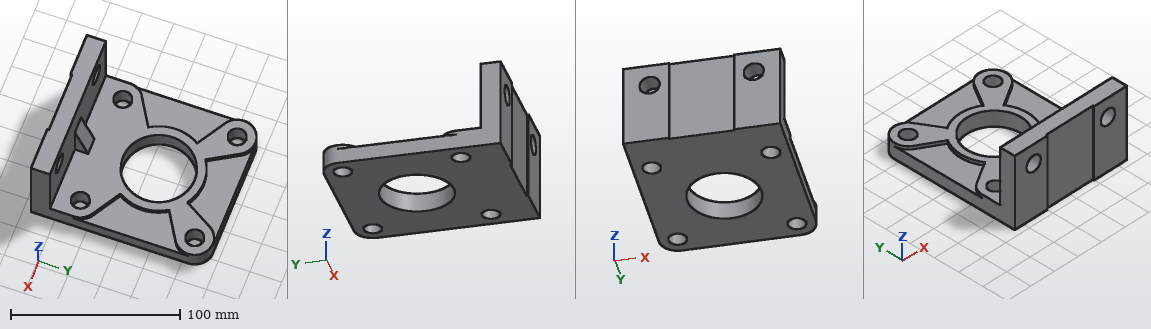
import cadquery as cq
import math

width = 95.0
length = 110.5
height = 55.0
thickness = 12.0

bore_diameter = 45.0
bore_y = length - width / 2
bolt_offset = 36.0
bolt_diameter = 11.0
corner_radius = width / 2 - bolt_offset

pad_height = 2.5
ring_radius = 28.3
arm_root_half_width = 6.0

wall_hole_spacing = 63.0
wall_hole_diameter = 12.0
wall_hole_z = 40.7
groove_width = 39.3
groove_depth = 1.0

gusset_width = 10.6
gusset_length = 8.4
gusset_height = 21.3

floor_z = thickness - pad_height
bolt_points = [(sx * bolt_offset, bore_y + sy * bolt_offset) for sx in (-1, 1) for sy in (-1, 1)]


def make_base():
    """Lower plate with its two rear corners rounded."""
    plate = cq.Workplane("XY").box(width, length, floor_z, centered=(True, False, False))
    return plate.edges("|Z and >Y").fillet(corner_radius)


def make_arm(angle):
    """Arm widening outward to run tangentially into a round bolt boss."""
    root = math.sqrt(ring_radius**2 - arm_root_half_width**2)
    boss = math.hypot(bolt_offset, bolt_offset)
    span = math.hypot(boss - root, arm_root_half_width)
    root_angle = math.atan2(arm_root_half_width, root - boss)
    tangent_angle = root_angle - math.acos(corner_radius / span)
    tangent_x = boss + corner_radius * math.cos(tangent_angle)
    tangent_y = corner_radius * math.sin(tangent_angle)
    return (
        cq.Workplane("XY")
        .moveTo(0, -arm_root_half_width)
        .lineTo(root, -arm_root_half_width)
        .lineTo(tangent_x, -tangent_y)
        .threePointArc((boss + corner_radius, 0), (tangent_x, tangent_y))
        .lineTo(root, arm_root_half_width)
        .lineTo(0, arm_root_half_width)
        .close()
        .extrude(pad_height)
        .rotate((0, 0, 0), (0, 0, 1), angle)
        .translate((0, bore_y, floor_z))
    )


def make_pad():
    """Raised ring and arms, merged with the full-width front area."""
    front_edge = bore_y - bolt_offset
    plane = cq.Workplane("XY").workplane(offset=floor_z)
    pad = plane.center(0, bore_y).circle(ring_radius).extrude(pad_height)
    front = (
        cq.Workplane("XY")
        .workplane(offset=floor_z)
        .polyline([
            (-width / 2, 0),
            (width / 2, 0),
            (width / 2, front_edge),
            (bolt_offset, front_edge),
            (0, bore_y),
            (-bolt_offset, front_edge),
            (-width / 2, front_edge),
        ])
        .close()
        .extrude(pad_height)
    )
    pad = pad.union(front)
    for angle in (45, 135, 225, 315):
        pad = pad.union(make_arm(angle))
    return pad


def make_wall():
    """Upright wall with two through holes."""
    wall = cq.Workplane("XY").box(width, thickness, height, centered=(True, False, False))
    holes = (
        cq.Workplane("XZ")
        .pushPoints([(side * wall_hole_spacing / 2, wall_hole_z) for side in (-1, 1)])
        .circle(wall_hole_diameter / 2)
        .extrude(-thickness)
    )
    return wall.cut(holes)


def make_gusset():
    """Triangular rib between the plate and the wall."""
    return (
        cq.Workplane("YZ")
        .polyline([
            (thickness, thickness),
            (thickness + gusset_length, thickness),
            (thickness, thickness + gusset_height),
        ])
        .close()
        .extrude(gusset_width / 2, both=True)
    )


bracket = make_base().union(make_pad()).union(make_wall()).union(make_gusset())

groove = cq.Workplane("XY").box(groove_width, groove_depth, height, centered=(True, False, False))
bore = cq.Workplane("XY").center(0, bore_y).circle(bore_diameter / 2).extrude(thickness)
bolt_holes = cq.Workplane("XY").pushPoints(bolt_points).circle(bolt_diameter / 2).extrude(thickness)

result = bracket.cut(groove).cut(bore).cut(bolt_holes)